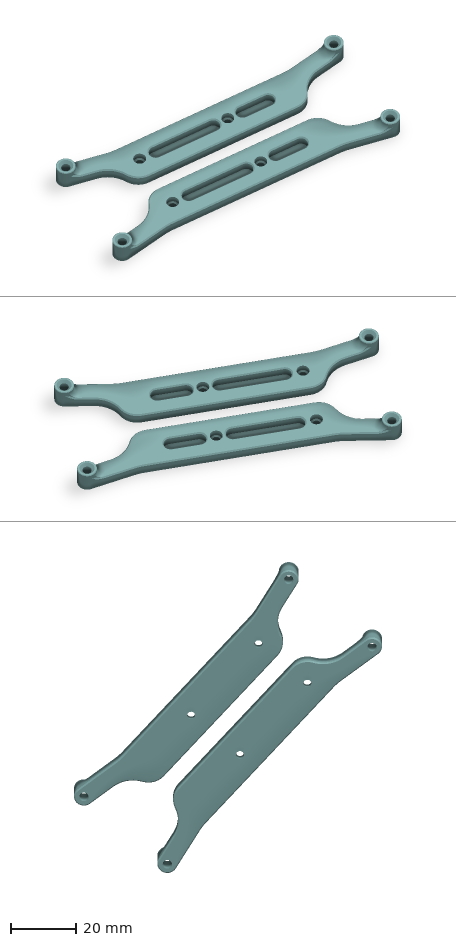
import cadquery as cq
import math

TOTAL_LENGTH = 101.9
TOTAL_WIDTH = 40.1
BOSS_HEIGHT = 7.0
PLATE_THICKNESS = 4.0
EDGE_CHAMFER = 0.4
BEVEL_TAPER = -45

BOSS_RADIUS = 3.1
BOSS_FOOT_RADIUS = 2.1
BOSS_RIM_CHAMFER = 0.2
BOSS_HOLE_DIAMETER = 2.9
COUNTERSINK_DIAMETER = 4.6
COUNTERSINK_DEPTH = 0.9
BOSS_BASE_Z = PLATE_THICKNESS - EDGE_CHAMFER
BOSS_X = TOTAL_WIDTH / 2 - BOSS_RADIUS
BOSS_Y = TOTAL_LENGTH / 2 - BOSS_RADIUS

INNER_GAP = 5.8
INNER_EDGE_X = INNER_GAP / 2
OUTER_EDGE_X = BOSS_X
ARM_ANGLE = math.radians(10.7)
SHOULDER_ANGLE = math.radians(26)
SHOULDER_CORNER_Y = 30.6
OUTER_BEND_RADIUS = 17.3
ARM_BEND_RADIUS = 9.8
SHOULDER_RADIUS = 6.3

FEATURE_X = (INNER_EDGE_X + OUTER_EDGE_X) / 2
POCKET_FLOOR_WIDTH = 4.3
POCKET_DIRECTION = 90
POCKET_DEPTH = 3.0
POCKET_CHAMFER = 0.4
POCKET_SPANS = [(9.0, 22.3), (-22.1, 2.8)]
SCREW_HOLES_Y = [5.8, -25.7]
SCREW_HOLE_DIAMETER = 2.4
COUNTERBORE_DIAMETER = 4.0
COUNTERBORE_DEPTH = 2.0


def mirrored_y(point):
    """The point on the opposite side of the X axis."""
    return (point[0], -point[1])


def outline_prism():
    """Full-height prism of the plate and its two arms, with the bends rounded."""
    cos_arm = math.cos(ARM_ANGLE)
    sin_arm = math.sin(ARM_ANGLE)
    lean = math.tan(ARM_ANGLE)
    rise = math.tan(SHOULDER_ANGLE)

    outer_tangent = (BOSS_X + BOSS_RADIUS * cos_arm, BOSS_Y - BOSS_RADIUS * sin_arm)
    inner_tangent = (BOSS_X - BOSS_RADIUS * cos_arm, BOSS_Y + BOSS_RADIUS * sin_arm)
    boss_tip = (BOSS_X + BOSS_RADIUS * sin_arm, BOSS_Y + BOSS_RADIUS * cos_arm)

    outer_corner = (OUTER_EDGE_X, outer_tangent[1] - (outer_tangent[0] - OUTER_EDGE_X) / lean)
    shoulder_corner = (INNER_EDGE_X, SHOULDER_CORNER_Y)

    drop = inner_tangent[1] - SHOULDER_CORNER_Y
    run = (inner_tangent[0] - INNER_EDGE_X - lean * drop) / (1 - lean * rise)
    arm_corner = (INNER_EDGE_X + run, SHOULDER_CORNER_Y + rise * run)

    prism = (
        cq.Workplane("XY")
        .moveTo(*mirrored_y(outer_corner))
        .lineTo(*outer_corner)
        .lineTo(*outer_tangent)
        .threePointArc(boss_tip, inner_tangent)
        .lineTo(*arm_corner)
        .lineTo(*shoulder_corner)
        .lineTo(*mirrored_y(shoulder_corner))
        .lineTo(*mirrored_y(arm_corner))
        .lineTo(*mirrored_y(inner_tangent))
        .threePointArc(mirrored_y(boss_tip), mirrored_y(outer_tangent))
        .close()
        .extrude(BOSS_HEIGHT)
    )
    bends = [
        (outer_corner, OUTER_BEND_RADIUS),
        (arm_corner, ARM_BEND_RADIUS),
        (shoulder_corner, SHOULDER_RADIUS),
    ]
    for corner, radius in bends:
        for x, y in (corner, mirrored_y(corner)):
            corner_edge = cq.NearestToPointSelector((x, y, BOSS_HEIGHT / 2))
            prism = prism.edges(corner_edge).fillet(radius)
    return prism


def plate_blank():
    """Plate and arms of even thickness, bevelled along all outer edges."""
    slab = cq.Workplane("XY").rect(TOTAL_LENGTH, TOTAL_LENGTH).extrude(PLATE_THICKNESS)
    plate = outline_prism().intersect(slab)
    return plate.faces("<Z or >Z").edges().chamfer(EDGE_CHAMFER)


def boss_foot():
    """Flare from a boss at the origin onto an arm along -Y, bevelled like the arm edges."""
    foot_reach = BOSS_RADIUS + BOSS_FOOT_RADIUS
    neck_z = PLATE_THICKNESS + BOSS_FOOT_RADIUS
    flare = (
        cq.Workplane("YZ")
        .moveTo(0, BOSS_BASE_Z)
        .lineTo(-foot_reach, BOSS_BASE_Z)
        .lineTo(-foot_reach, PLATE_THICKNESS)
        .radiusArc((-BOSS_RADIUS, neck_z), -BOSS_FOOT_RADIUS)
        .lineTo(0, neck_z)
        .close()
        .revolve(360, (0, 0, 0), (0, 1, 0))
    )
    arm_strip = (
        cq.Workplane("XY")
        .rect(2 * BOSS_RADIUS, 2 * foot_reach)
        .extrude(BOSS_HEIGHT)
        .translate((0, -foot_reach, 0))
    )
    foot = flare.intersect(arm_strip)

    def side_height(distance):
        """Height of the flare at the side of the arm, at a distance along it."""
        inset = foot_reach - math.hypot(BOSS_RADIUS, distance)
        return neck_z - math.sqrt(BOSS_FOOT_RADIUS**2 - inset**2)

    side_end = math.sqrt(foot_reach**2 - BOSS_RADIUS**2)
    side_middle = side_end / 2
    bevel = (
        cq.Workplane("YZ", origin=(BOSS_RADIUS - EDGE_CHAMFER, 0, 0))
        .moveTo(0, neck_z)
        .threePointArc((-side_middle, side_height(side_middle)), (-side_end, PLATE_THICKNESS))
        .lineTo(-2 * side_end, PLATE_THICKNESS)
        .lineTo(-2 * side_end, BOSS_HEIGHT)
        .lineTo(0, BOSS_HEIGHT)
        .close()
        .extrude(EDGE_CHAMFER, taper=BEVEL_TAPER)
    )
    return foot.cut(bevel).cut(bevel.mirror("YZ"))


def boss():
    """Boss with its foot, at the +Y end of the plate."""
    post = (
        cq.Workplane("XY", origin=(0, 0, BOSS_BASE_Z))
        .circle(BOSS_RADIUS)
        .extrude(BOSS_HEIGHT - BOSS_BASE_Z)
        .faces(">Z")
        .chamfer(BOSS_RIM_CHAMFER)
    )
    leaning_foot = boss_foot().rotate((0, 0, 0), (0, 0, 1), -math.degrees(ARM_ANGLE))
    return post.union(leaning_foot).translate((BOSS_X, BOSS_Y, 0))


def boss_holes():
    """Cutters for the through holes of the bosses, conical at the top."""
    hole_radius = BOSS_HOLE_DIAMETER / 2
    cutter = (
        cq.Workplane("XZ")
        .lineTo(hole_radius, 0)
        .lineTo(hole_radius, BOSS_HEIGHT - COUNTERSINK_DEPTH)
        .lineTo(COUNTERSINK_DIAMETER / 2, BOSS_HEIGHT)
        .lineTo(0, BOSS_HEIGHT)
        .close()
        .revolve(360, (0, 0, 0), (0, 1, 0))
    )
    return [cutter.translate((BOSS_X, y, 0)) for y in (BOSS_Y, -BOSS_Y)]


def pocket(low_y, high_y):
    """Cutter for a round-ended blind pocket with a bevelled rim."""
    length = high_y - low_y
    middle = (FEATURE_X, (low_y + high_y) / 2)
    straight = (
        cq.Workplane("XY", origin=(*middle, PLATE_THICKNESS - POCKET_DEPTH))
        .slot2D(length, POCKET_FLOOR_WIDTH, POCKET_DIRECTION)
        .extrude(POCKET_DEPTH)
    )
    rim = (
        cq.Workplane("XY", origin=(*middle, PLATE_THICKNESS - POCKET_CHAMFER))
        .slot2D(length, POCKET_FLOOR_WIDTH, POCKET_DIRECTION)
        .extrude(POCKET_CHAMFER, taper=BEVEL_TAPER)
    )
    return straight.union(rim)


def screw_hole(y):
    """Cutter for a through hole with a counterbore from the plate top."""
    hole = (
        cq.Workplane("XY", origin=(FEATURE_X, y, 0))
        .circle(SCREW_HOLE_DIAMETER / 2)
        .extrude(PLATE_THICKNESS)
    )
    counterbore = (
        cq.Workplane("XY", origin=(FEATURE_X, y, PLATE_THICKNESS - COUNTERBORE_DEPTH))
        .circle(COUNTERBORE_DIAMETER / 2)
        .extrude(COUNTERBORE_DEPTH)
    )
    return hole.union(counterbore)


def side_bracket():
    """The complete bracket on the +X side."""
    upper_space = (
        cq.Workplane("XY")
        .rect(TOTAL_LENGTH, TOTAL_LENGTH)
        .extrude(BOSS_HEIGHT)
        .translate((0, TOTAL_LENGTH / 2, 0))
    )
    upper_half = plate_blank().union(boss()).intersect(upper_space)
    bracket = upper_half.union(upper_half.mirror("XZ"))
    for cutter in boss_holes():
        bracket = bracket.cut(cutter)
    for low_y, high_y in POCKET_SPANS:
        bracket = bracket.cut(pocket(low_y, high_y))
    for y in SCREW_HOLES_Y:
        bracket = bracket.cut(screw_hole(y))
    return bracket


right_bracket = side_bracket()
left_bracket = right_bracket.mirror("YZ")
result = cq.Compound.makeCompound([right_bracket.val(), left_bracket.val()])